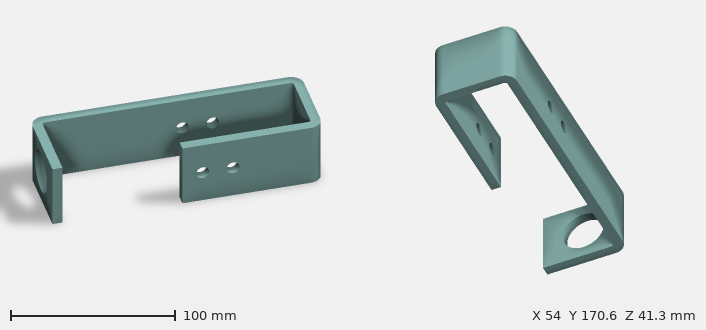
import cadquery as cq

width = 54.0
length = 170.6
height = 41.3
thickness = 6.3
outer_bend_radius = 8.0
inner_bend_radius = outer_bend_radius - thickness

short_leg_length = 88.9

large_hole_diameter = 27.3
small_hole_diameter = 8.0
first_hole_from_back = 57.0
small_hole_spacing = 19.1

left = -width / 2
right = width / 2
front = -length / 2
back = length / 2
bottom = -height / 2


def make_strap():
    """Solid block opened into a hook-shaped strap with three rounded bends."""
    block = cq.Workplane("XY").box(width, length, height)
    block = block.edges("|Z and (<X or >Y)").fillet(outer_bend_radius)

    inner_width = width - 2 * thickness
    inner_length = length - 2 * thickness
    inside = cq.Workplane("XY").box(inner_width, inner_length, height)
    inside = inside.edges("|Z and (<X or >Y)").fillet(inner_bend_radius)

    gap_length = inner_length + thickness - short_leg_length
    gap = (
        cq.Workplane("XY", origin=(0, front + thickness, bottom))
        .rect(right, gap_length, centered=False)
        .extrude(height)
    )
    return block.cut(inside).cut(gap)


def cut_flange_hole(body):
    """Large hole through the front flange only."""
    tool = (
        cq.Workplane("XZ", origin=(0, front + thickness, 0))
        .circle(large_hole_diameter / 2)
        .extrude(thickness)
    )
    return body.cut(tool)


def cut_side_holes(body):
    """Pair of small holes running through both side legs."""
    for index in range(2):
        hole_y = back - first_hole_from_back - index * small_hole_spacing
        tool = (
            cq.Workplane("YZ", origin=(left, hole_y, 0))
            .circle(small_hole_diameter / 2)
            .extrude(width)
        )
        body = body.cut(tool)
    return body


result = cut_side_holes(cut_flange_hole(make_strap()))